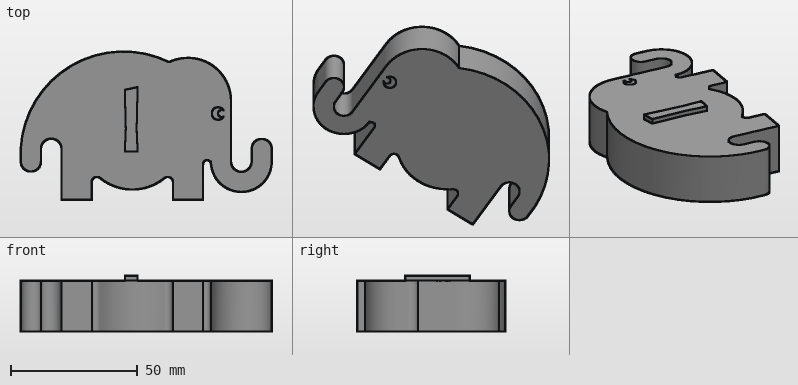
import cadquery as cq
import math

strip_width = 8.0
leg_width = 12.0
leg_spacing = 31.9
trunk_gap = 3.0
thickness = 20.0

curl_y = 15.1
tip_y = 20.0
trunk_notch_y = 14.1
belly_low_y = 4.0

back_radius = 40.6
back_top_y = 58.4
head_radius = 17.0
head_y = 38.9
belly_radius = 20.0
belly_notch_radius = 2.0

number_left = 41.0
number_width = 5.1
number_bottom = 18.9
number_top_left = 43.3
number_top_right = 44.4
number_waist_y = 27.9
number_waist_inset = 0.4
number_height = 2.0

eye_x = 77.8
eye_y = 34.0
eye_radius = 2.5
pupil_radius = 1.4
pupil_offset = 1.4

rear_leg_left = 2 * strip_width
rear_leg_right = rear_leg_left + leg_width
front_leg_left = rear_leg_right + leg_spacing
front_leg_right = front_leg_left + leg_width
trunk_left = front_leg_right + trunk_gap
trunk_right = trunk_left + strip_width
tip_left = trunk_right + strip_width
tip_right = tip_left + strip_width

strip_radius = strip_width / 2
trunk_notch_radius = trunk_gap / 2
trunk_bend_radius = (tip_right - trunk_left) / 2


def circle_crossing(center_a, radius_a, center_b, radius_b):
    """Upper crossing point of two circles, where circle b lies to the right of circle a."""
    dx = center_b[0] - center_a[0]
    dy = center_b[1] - center_a[1]
    distance = math.hypot(dx, dy)
    along = (radius_a**2 - radius_b**2 + distance**2) / (2 * distance)
    aside = math.sqrt(radius_a**2 - along**2)
    x = center_a[0] + (along * dx - aside * dy) / distance
    y = center_a[1] + (along * dy + aside * dx) / distance
    return x, y


def elephant_outline():
    back_y = back_top_y - back_radius
    back_x = math.sqrt(back_radius**2 - (curl_y - back_y) ** 2)
    head_x = trunk_right - head_radius
    neck = circle_crossing((back_x, back_y), back_radius, (head_x, head_y), head_radius)

    belly_x = (rear_leg_right + front_leg_left) / 2
    belly_y = belly_low_y + belly_radius
    center_distance = belly_radius + belly_notch_radius
    notch_dx = leg_spacing / 2 - belly_notch_radius
    notch_dy = math.sqrt(center_distance**2 - notch_dx**2)
    notch_y = belly_y - notch_dy
    belly_end_dx = notch_dx * belly_radius / center_distance
    belly_end_y = belly_y - notch_dy * belly_radius / center_distance

    return (
        cq.Workplane("XY")
        .moveTo(0, curl_y)
        .threePointArc((back_x, back_top_y), neck)
        .threePointArc((head_x, head_y + head_radius), (trunk_right, head_y))
        .lineTo(trunk_right, curl_y)
        .threePointArc((trunk_right + strip_radius, curl_y - strip_radius), (tip_left, curl_y))
        .lineTo(tip_left, tip_y)
        .threePointArc((tip_left + strip_radius, tip_y + strip_radius), (tip_right, tip_y))
        .lineTo(tip_right, curl_y)
        .threePointArc(
            (tip_right - trunk_bend_radius, curl_y - trunk_bend_radius), (trunk_left, curl_y)
        )
        .lineTo(trunk_left, trunk_notch_y)
        .threePointArc(
            (trunk_left - trunk_notch_radius, trunk_notch_y + trunk_notch_radius),
            (front_leg_right, trunk_notch_y),
        )
        .lineTo(front_leg_right, 0)
        .lineTo(front_leg_left, 0)
        .lineTo(front_leg_left, notch_y)
        .threePointArc(
            (front_leg_left - belly_notch_radius, notch_y + belly_notch_radius),
            (belly_x + belly_end_dx, belly_end_y),
        )
        .threePointArc((belly_x, belly_low_y), (belly_x - belly_end_dx, belly_end_y))
        .threePointArc(
            (rear_leg_right + belly_notch_radius, notch_y + belly_notch_radius),
            (rear_leg_right, notch_y),
        )
        .lineTo(rear_leg_right, 0)
        .lineTo(rear_leg_left, 0)
        .lineTo(rear_leg_left, tip_y)
        .threePointArc(
            (rear_leg_left - strip_radius, tip_y + strip_radius), (strip_width, tip_y)
        )
        .lineTo(strip_width, curl_y)
        .threePointArc((strip_radius, curl_y - strip_radius), (0, curl_y))
        .close()
    )


def make_eye():
    """Crescent running through the full thickness: a disc less a pupil that breaks its edge."""
    disc = cq.Workplane("XY").center(eye_x, eye_y).circle(eye_radius).extrude(thickness)
    pupil = (
        cq.Workplane("XY")
        .center(eye_x + pupil_offset, eye_y)
        .circle(pupil_radius)
        .extrude(thickness)
    )
    return disc.cut(pupil)


def make_elephant(eye):
    return elephant_outline().extrude(thickness).cut(eye)


def make_number():
    """Slightly waisted bar with a slanted top, standing on the elephant."""
    number_right = number_left + number_width
    outline = [
        (number_left, number_bottom),
        (number_right, number_bottom),
        (number_right - number_waist_inset, number_waist_y),
        (number_right, number_top_right),
        (number_left, number_top_left),
        (number_left + number_waist_inset, number_waist_y),
    ]
    return (
        cq.Workplane("XY")
        .workplane(offset=thickness)
        .polyline(outline)
        .close()
        .extrude(number_height)
    )


eye = make_eye()
elephant = make_elephant(eye)
number = make_number()

result = cq.Compound.makeCompound([elephant.val(), number.val(), eye.val()])